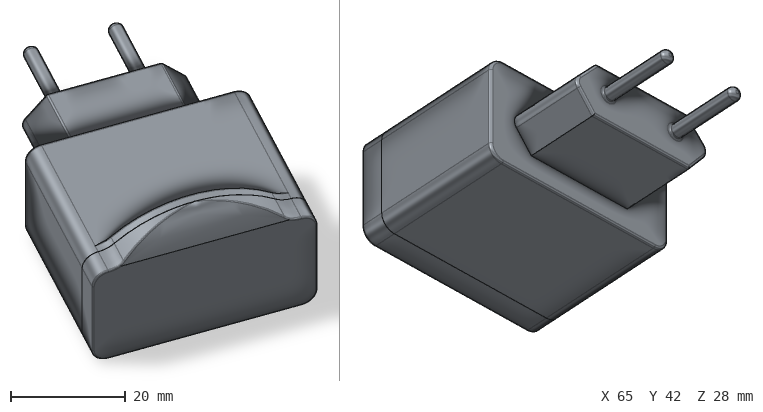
import cadquery as cq
import math

total_length = 65.0
total_height = 27.95

housing_width = 42.0
housing_height = 22.0
housing_length = 33.0
corner_radius = 3.0
edge_radius = 0.5

cap_length = 5.0
cap_edge_radius = 0.3
seam_x = housing_length - cap_length

lip_length = 7.0
lip_front_x = housing_length - lip_length
blend_radius = 5.0
bevel_crest_run = 1.7
bevel_drop = 5.65

nose_length = 16.1
nose_half_width = 15.5
nose_side_z = 10.5
nose_top_z = 16.3
nose_bottom_z = 4.9
nose_top_half_width = 10.7
nose_bottom_half_width = 11.4
nose_side_radius = 2.0
nose_side_angle = math.radians(52)
nose_top_corner_radius = 0.5

pin_length = total_length - housing_length - nose_length
pin_radius = 1.35
pin_spacing = 15.85
pin_z = housing_height / 2
pin_tip_radius = 1.05
pin_root_radius = 0.45

ARC_INSET = 1 - math.sqrt(0.5)


def lip_section(start_x, length):
    """Housing cross-section with the crowned lip on top, extruded along X."""
    side_y = housing_width / 2
    shoulder_y = side_y - corner_radius
    shoulder_z = housing_height - corner_radius
    corner_inset = corner_radius * ARC_INSET
    corner_y = side_y - corner_inset
    corner_z = housing_height - corner_inset

    rise = total_height - housing_height
    centre_distance = (shoulder_y ** 2 + rise ** 2) / (2 * rise)
    crown_radius = centre_distance - blend_radius
    blend_angle = math.asin(shoulder_y / centre_distance)
    crown_end_y = crown_radius * math.sin(blend_angle)
    crown_end_z = housing_height + blend_radius * (1 - math.cos(blend_angle))
    blend_mid_y = shoulder_y - blend_radius * math.sin(blend_angle / 2)
    blend_mid_z = housing_height + blend_radius * (1 - math.cos(blend_angle / 2))

    return (
        cq.Workplane("YZ", origin=(start_x, 0, 0))
        .moveTo(-shoulder_y, 0)
        .lineTo(shoulder_y, 0)
        .threePointArc((corner_y, corner_inset), (side_y, corner_radius))
        .lineTo(side_y, shoulder_z)
        .threePointArc((corner_y, corner_z), (shoulder_y, housing_height))
        .threePointArc((blend_mid_y, blend_mid_z), (crown_end_y, crown_end_z))
        .threePointArc((0, total_height), (-crown_end_y, crown_end_z))
        .threePointArc((-blend_mid_y, blend_mid_z), (-shoulder_y, housing_height))
        .threePointArc((-corner_y, corner_z), (-side_y, shoulder_z))
        .lineTo(-side_y, corner_radius)
        .threePointArc((-corner_y, corner_inset), (-shoulder_y, 0))
        .close()
        .extrude(length)
    )


def make_housing():
    """Rounded block up to the seam, with the front part of the finger lip on top."""
    block = (
        cq.Workplane("YZ")
        .center(0, housing_height / 2)
        .rect(housing_width, housing_height)
        .extrude(seam_x)
        .edges("|X").fillet(corner_radius)
        .faces("<X").edges().fillet(edge_radius)
    )
    lip = lip_section(lip_front_x, seam_x - lip_front_x).faces("<X").edges().fillet(edge_radius)
    return block.union(lip)


def make_cap():
    """End cap whose crown falls away to the rear in a curve level with the crest at the seam."""
    bevel = (
        cq.Workplane("XZ", origin=(0, housing_width / 2, 0))
        .moveTo(seam_x, total_height)
        .bezier([
            (seam_x, total_height),
            (seam_x + bevel_crest_run, total_height),
            (housing_length, total_height - bevel_drop),
        ])
        .lineTo(housing_length, total_height)
        .close()
        .extrude(housing_width)
    )
    cap = lip_section(seam_x, cap_length).cut(bevel)

    bevel_sides = cap.faces("%EXTRUSION").edges("not |Y")
    rear_outline = cap.edges(">X and (<Z or (not |Y))")
    return rear_outline.add(bevel_sides).fillet(cap_edge_radius)


def make_nose():
    """Hexagonal plug nose in front of the housing."""
    sharp_y = nose_half_width - nose_side_radius + nose_side_radius / math.sin(nose_side_angle)
    return (
        cq.Workplane("YZ", origin=(-nose_length, 0, 0))
        .polyline([
            (-nose_bottom_half_width, nose_bottom_z),
            (nose_bottom_half_width, nose_bottom_z),
            (sharp_y, nose_side_z),
            (nose_top_half_width, nose_top_z),
            (-nose_top_half_width, nose_top_z),
            (-sharp_y, nose_side_z),
        ])
        .close()
        .extrude(nose_length)
        .edges("|X and (>Y or <Y)").fillet(nose_side_radius)
        .edges("|X and >Z").fillet(nose_top_corner_radius)
        .faces("<X").edges().fillet(edge_radius)
    )


def make_pin(pin_y):
    """Round pin along X with a flared root on the nose face and a rounded tip."""
    tip_flat_radius = pin_radius - pin_tip_radius
    tip_inset = pin_tip_radius * ARC_INSET
    root_inset = pin_root_radius * ARC_INSET
    return (
        cq.Workplane("XY", origin=(-nose_length, pin_y, pin_z))
        .lineTo(0, pin_radius + pin_root_radius)
        .threePointArc((-root_inset, pin_radius + root_inset), (-pin_root_radius, pin_radius))
        .lineTo(pin_tip_radius - pin_length, pin_radius)
        .threePointArc((tip_inset - pin_length, pin_radius - tip_inset), (-pin_length, tip_flat_radius))
        .lineTo(-pin_length, 0)
        .close()
        .revolve(360, (0, 0, 0), (1, 0, 0))
    )


def make_plug():
    """Nose and both pins, joined into one body by the flared pin roots."""
    plug = make_nose()
    for side in (-1, 1):
        plug = plug.union(make_pin(side * pin_spacing / 2))
    return plug


housing = make_housing()
cap = make_cap()
plug = make_plug()
result = cq.Compound.makeCompound([housing.val(), cap.val(), plug.val()])